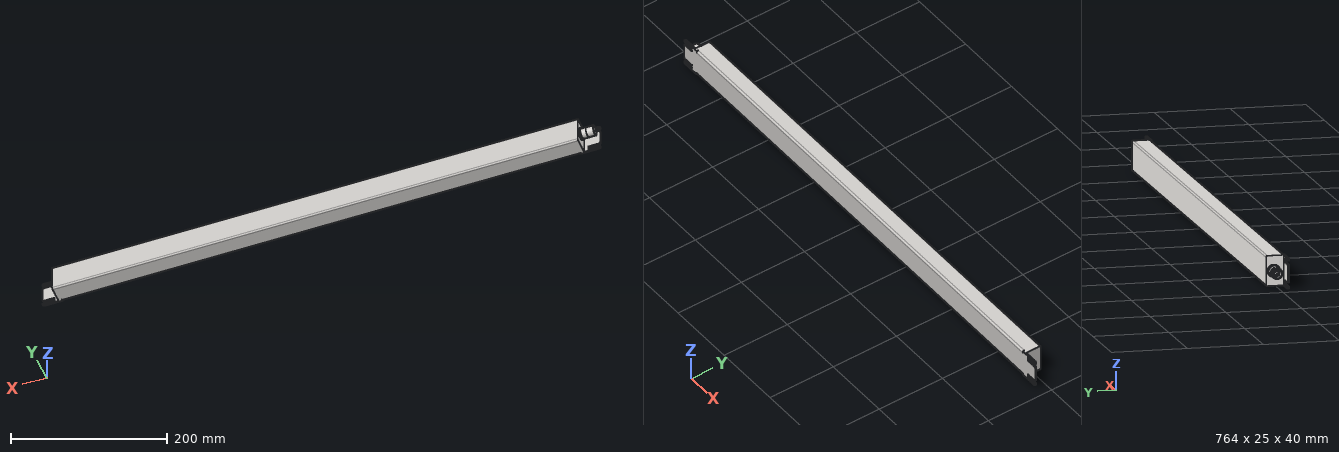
import cadquery as cq

plate_length = 764.0
plate_height = 40.0
plate_thickness = 2.0
plate_corner_radius = 2.5

slot_width = 5.0
slot_depth = 16.5
slot_offset = 14.5
slot_mouth_radius = 2.0

housing_length = 720.0
housing_depth = 25.0
rear_edge_radius = 2.0

bend_radius = 2.6
bend_length = 710.0

connector_y = 15.0
connector_length = 19.5
barrel_diameter = 14.0
socket_diameter = 12.0
socket_depth = 10.0
pin_diameter = 1.5
pin_length = 8.0
pin_spacing = 5.0

collar_diameter = 16.0
collar_thickness = 2.5
collar_chamfer = 0.9


def make_plate():
    """Front plate with rounded corners and two open slots at each end."""
    plate = cq.Workplane("XY").box(
        plate_length, plate_thickness, plate_height, centered=(True, False, True)
    )
    plate = plate.edges("|Y").fillet(plate_corner_radius)
    for x_side in (-1, 1):
        for z_side in (-1, 1):
            slot = cq.Workplane("XY").box(2 * slot_depth, 3 * plate_thickness, slot_width)
            plate = plate.cut(
                slot.translate((x_side * plate_length / 2, 0, z_side * slot_offset))
            )
    middle_tongue = cq.selectors.BoxSelector(
        (-plate_length, -plate_thickness, -slot_offset),
        (plate_length, 2 * plate_thickness, slot_offset),
    )
    for end_face in ("<X", ">X"):
        plate = plate.faces(end_face).edges("|Y").edges(middle_tongue).fillet(slot_mouth_radius)
    return plate


def make_housing():
    """Closed box behind the plate with rounded long rear edges."""
    housing = cq.Workplane("XY").box(
        housing_length, housing_depth - plate_thickness, plate_height, centered=(True, False, True)
    )
    housing = housing.edges("|X and >Y").fillet(rear_edge_radius)
    return housing.translate((0, plate_thickness, 0))


def make_bend_cutter(z_side):
    """Material between a sharp long front edge and its rounded bend."""
    edge_z = z_side * plate_height / 2
    center_z = edge_z - z_side * bend_radius
    blank = (
        cq.Workplane("XY")
        .box(bend_length, bend_radius, bend_radius, centered=(True, False, True))
        .translate((0, 0, edge_z - z_side * bend_radius / 2))
    )
    rounding = (
        cq.Workplane("YZ", origin=(-bend_length / 2, bend_radius, center_z))
        .circle(bend_radius)
        .extrude(bend_length)
    )
    return blank.cut(rounding)


def connector_sketch_plane(distance):
    """Plane across the connector axis, at a distance outside the housing end."""
    return cq.Workplane("YZ", origin=(-housing_length / 2 - distance, connector_y, 0))


def make_connector():
    """Hollow barrel with a collar at its foot and four contact pins."""
    barrel = connector_sketch_plane(connector_length).circle(barrel_diameter / 2).extrude(connector_length)
    collar = connector_sketch_plane(collar_thickness).circle(collar_diameter / 2).extrude(collar_thickness)
    collar = collar.faces("<X").chamfer(collar_chamfer)
    socket = connector_sketch_plane(connector_length).circle(socket_diameter / 2).extrude(socket_depth)
    pins = (
        connector_sketch_plane(connector_length - socket_depth)
        .rect(pin_spacing, pin_spacing, forConstruction=True)
        .vertices()
        .circle(pin_diameter / 2)
        .extrude(-pin_length)
    )
    return barrel.union(collar).cut(socket).union(pins)


result = make_plate().union(make_housing())
for z_side in (-1, 1):
    result = result.cut(make_bend_cutter(z_side))
result = result.union(make_connector()).clean()